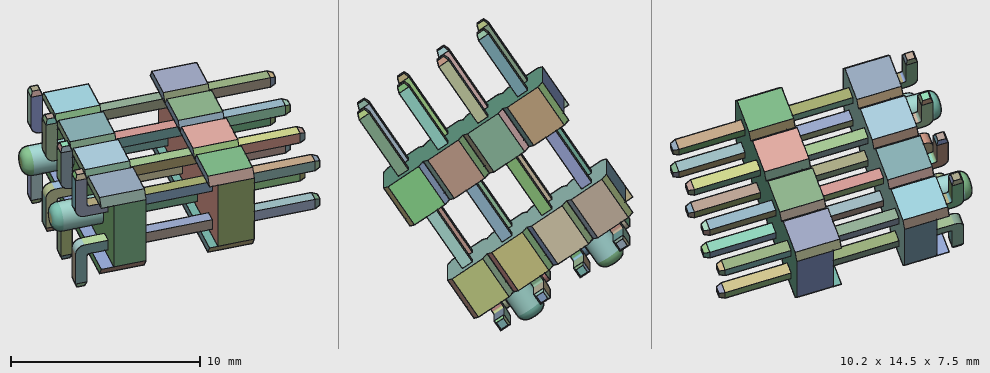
import cadquery as cq
import math


overall_width = 10.16
overall_length = 14.5
overall_height = 7.5

columns = 4
pitch = overall_width / columns
row_offset = pitch / 2

carrier_height = 2 * pitch
flange_thickness = 0.51
flange_length = 2.5
flange_bevel_angle = 60.0
flange_web = 0.01
front_flange_start = 2.0
front_wall_length = 1.8
rear_flange_start = 8.02
rear_wall_length = 2.03

pin_size = 0.64
pin_front = 0.88
outer_bend_radius = 0.51
inner_bend_radius = 0.13
tip_length = 0.3
tip_inset = 0.1

peg_radius = 0.8
peg_tip_flat_radius = 0.3
peg_spacing = 2 * pitch

wall_height = carrier_height - 2 * flange_thickness
bevel_width = flange_thickness / math.tan(math.radians(flange_bevel_angle))
column_positions = [(column - (columns - 1) / 2) * pitch for column in range(columns)]


def box(width, length, height, front, bottom):
    """Block centred on X, running from `front` toward +Y and from `bottom` upward."""
    block = cq.Workplane("XY").box(width, length, height, centered=(True, False, False))
    return block.translate((0, front, bottom))


def mirrored_in_z(solid):
    """The solid together with its reflection below Z = 0."""
    return solid.union(solid.mirror("XY"))


def make_flange(front):
    """Upper flange: one bevelled segment per column, joined by a thin web at the base."""
    base = wall_height / 2
    top = carrier_height / 2
    flange = box((columns - 1) * pitch, flange_length, flange_web, front, base)
    for x in column_positions:
        segment = (
            cq.Workplane("XZ", origin=(x, front, 0))
            .moveTo(-pitch / 2, base)
            .lineTo(pitch / 2, base)
            .lineTo(pitch / 2 - bevel_width, top)
            .lineTo(-pitch / 2 + bevel_width, top)
            .close()
            .extrude(-flange_length)
        )
        flange = flange.union(segment)
    return flange


def make_carrier(flange_start, wall_length):
    """Wall with flanges above and below; the rear faces are flush."""
    wall_start = flange_start + flange_length - wall_length
    wall = box(overall_width, wall_length, wall_height, wall_start, -wall_height / 2)
    return wall.union(mirrored_in_z(make_flange(flange_start)))


def make_tip(plane):
    """Tapered square pin end, extruded along the normal of `plane`."""
    taper = math.degrees(math.atan(tip_inset / tip_length))
    return cq.Workplane(plane).rect(pin_size, pin_size).extrude(tip_length, taper=taper)


def make_upper_pin(x):
    """Upper-row pin: straight tail toward +Y and a foot bent up toward +Z."""
    half = pin_size / 2
    tail_end = overall_length - tip_length
    foot_end = overall_height / 2 - tip_length
    low = row_offset - half
    high = row_offset + half
    foot_rear = pin_front + pin_size
    shank = (
        cq.Workplane("YZ", origin=(x - half, 0, 0))
        .moveTo(tail_end, low)
        .lineTo(pin_front + outer_bend_radius, low)
        .radiusArc((pin_front, low + outer_bend_radius), outer_bend_radius)
        .lineTo(pin_front, foot_end)
        .lineTo(foot_rear, foot_end)
        .lineTo(foot_rear, high + inner_bend_radius)
        .radiusArc((foot_rear + inner_bend_radius, high), -inner_bend_radius)
        .lineTo(tail_end, high)
        .close()
        .extrude(pin_size)
    )
    tail_tip = make_tip("ZX").translate((x, tail_end, row_offset))
    foot_tip = make_tip("XY").translate((x, pin_front + half, foot_end))
    return shank.union(tail_tip).union(foot_tip)


def make_peg(x):
    """Round locating peg from the front carrier wall to a rounded tip at Y = 0."""
    wall_start = front_flange_start + flange_length - front_wall_length
    return (
        cq.Workplane("XZ", origin=(x, wall_start, 0))
        .circle(peg_radius)
        .extrude(wall_start)
        .faces("<Y")
        .edges()
        .fillet(peg_radius - peg_tip_flat_radius)
    )


result = make_carrier(front_flange_start, front_wall_length)
result = result.union(make_carrier(rear_flange_start, rear_wall_length))

for column_x in column_positions:
    result = result.union(mirrored_in_z(make_upper_pin(column_x)))

for peg_x in (-peg_spacing / 2, peg_spacing / 2):
    result = result.union(make_peg(peg_x))